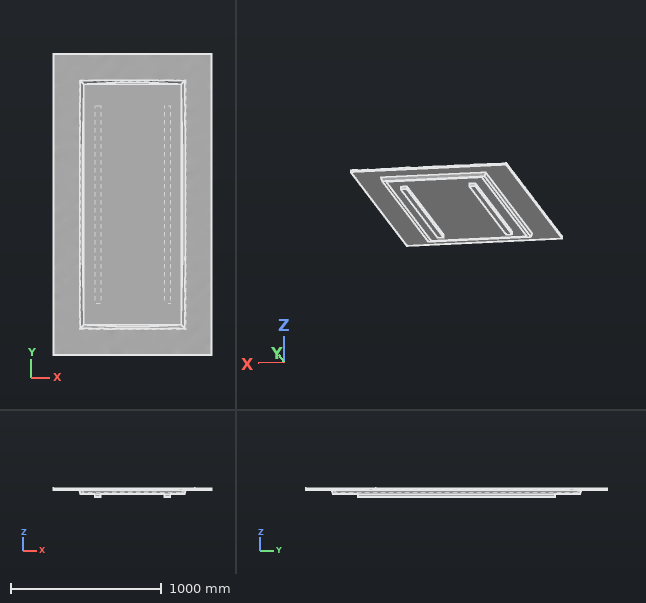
import cadquery as cq
import math

frame_width = 1050.0
frame_length = 2000.0
brim_reach = 175.0
overall_height = 59.96

rail_height = 20.0
skirt_height = 25.0
brim_base = rail_height + skirt_height
panel_thickness = 10.0
panel_top = rail_height + panel_thickness

relief_depth = 7.0
relief_waves = [(0.053, 0.029), (-0.037, 0.047), (0.067, 0.0), (0.023, 0.061)]
surface_tolerance = 0.01
cells_across_brim = 7
cell_size = brim_reach / cells_across_brim

rim_width = frame_width - 2 * brim_reach
rim_length = frame_length - 2 * brim_reach

panel_inset = 27.0
panel_width = rim_width - 2 * panel_inset
panel_length = rim_length - 2 * panel_inset

bevel_reach = 13.0
short_side_bevel_rise = 5.0
long_side_bevel_rise = 3.0

skirt_overlap = 4.0
skirt_draft = 8.0
skirt_top_width = rim_width + 2 * skirt_overlap
skirt_top_length = rim_length + 2 * skirt_overlap
skirt_base_width = skirt_top_width - 2 * skirt_draft
skirt_base_length = skirt_top_length - 2 * skirt_draft

rail_width = 40.0
rail_length = 1310.0
rail_spacing = 462.0


def roughness(x, y):
    """Irregular height of the hewn stone: crossing waves that all crest at the -X, -Y corner."""
    along_x = x + frame_width / 2
    along_y = y + frame_length / 2
    return sum(math.cos(rate_x * along_x + rate_y * along_y) for rate_x, rate_y in relief_waves)


def grid_lines(length):
    """Evenly spaced coordinates across a centred length."""
    count = round(length / cell_size)
    return [length * (i / count - 0.5) for i in range(count + 1)]


def on_brim(x, y):
    """True for places on the brim itself, False beyond its edges and in its opening."""
    inside_edges = abs(x) <= frame_width / 2 and abs(y) <= frame_length / 2
    inside_opening = abs(x) <= rim_width / 2 and abs(y) <= rim_length / 2
    return inside_edges and not inside_opening


def hewn_surface():
    """Smooth uneven face whose highest brim point is the overall height."""
    xs = grid_lines(frame_width + 2 * cell_size)
    ys = grid_lines(frame_length + 2 * cell_size)
    brim_waves = [roughness(x, y) for x in xs for y in ys if on_brim(x, y)]
    highest = max(brim_waves)
    depth_per_wave = relief_depth / (highest - min(brim_waves))
    points = [
        [cq.Vector(x, y, overall_height - depth_per_wave * (highest - roughness(x, y))) for y in ys]
        for x in xs
    ]
    return cq.Face.makeSplineApprox(points, tol=surface_tolerance, minDeg=3, maxDeg=3)


def hewn_slab():
    """Slab with a flat underside, upright sides and the hewn surface on top."""
    below_surface = cq.Solid.extrudeLinear(hewn_surface(), cq.Vector(0, 0, -overall_height))
    blank = (
        cq.Workplane("XY", origin=(0, 0, brim_base))
        .rect(frame_width, frame_length)
        .extrude(overall_height)
    )
    return blank.intersect(cq.Workplane(below_surface))


def rectangle(level, width, length):
    return cq.Workplane("XY", origin=(0, 0, level)).rect(width, length).wires().val()


def tapered_block(lower, upper):
    """Solid with flat sides between two level rectangles."""
    return cq.Workplane(cq.Solid.makeLoft([lower, upper], True))


def skirt_block():
    return tapered_block(
        rectangle(rail_height, skirt_base_width, skirt_base_length),
        rectangle(brim_base, skirt_top_width, skirt_top_length),
    )


def corner_points(level, width, length):
    x = width / 2
    y = length / 2
    return [cq.Vector(px, py, level) for px, py in ((-x, -y), (x, -y), (x, y), (-x, y))]


def polygon_face(corners):
    return cq.Face.makeFromWires(cq.Wire.makePolygon(corners, close=True))


def opening_cutter():
    """Space over the panel: a bow-shaped bevel along each side, then walls leaning outwards to the rim."""
    cutter_top = overall_height + relief_depth
    wall_inset = panel_inset * (cutter_top - panel_top) / (overall_height - panel_top)
    panel_corners = corner_points(panel_top, panel_width, panel_length)
    top_corners = corner_points(cutter_top, panel_width + 2 * wall_inset, panel_length + 2 * wall_inset)
    crest_offsets = [
        cq.Vector(0, -bevel_reach, short_side_bevel_rise),
        cq.Vector(bevel_reach, 0, long_side_bevel_rise),
        cq.Vector(0, bevel_reach, short_side_bevel_rise),
        cq.Vector(-bevel_reach, 0, long_side_bevel_rise),
    ]
    faces = [polygon_face(panel_corners), polygon_face(top_corners)]
    for side, crest_offset in enumerate(crest_offsets):
        following = (side + 1) % len(crest_offsets)
        start = panel_corners[side]
        end = panel_corners[following]
        crest = (start + end) * 0.5 + crest_offset
        panel_edge = cq.Edge.makeLine(start, end)
        bow = cq.Edge.makeThreePointArc(start, crest, end)
        top_edge = cq.Edge.makeLine(top_corners[side], top_corners[following])
        faces.append(cq.Face.makeFromWires(cq.Wire.assembleEdges([panel_edge, bow])))
        faces.append(cq.Face.makeRuledSurface(bow, top_edge))
    return cq.Workplane(cq.Solid.makeSolid(cq.Shell.makeShell(faces)))


def make_panel():
    return (
        cq.Workplane("XY", origin=(0, 0, rail_height))
        .rect(panel_width, panel_length)
        .extrude(panel_thickness)
    )


def make_frame(panel):
    """Brim and skirt in one piece, open through the middle where the panel sits."""
    return hewn_slab().union(skirt_block()).cut(opening_cutter()).cut(panel)


def make_rail(x):
    return cq.Workplane("XY").center(x, 0).rect(rail_width, rail_length).extrude(rail_height)


panel = make_panel()
frame = make_frame(panel)
rails = [make_rail(side * rail_spacing / 2) for side in (-1, 1)]

result = cq.Compound.makeCompound([frame.solids().val(), panel.val(), *[rail.val() for rail in rails]])